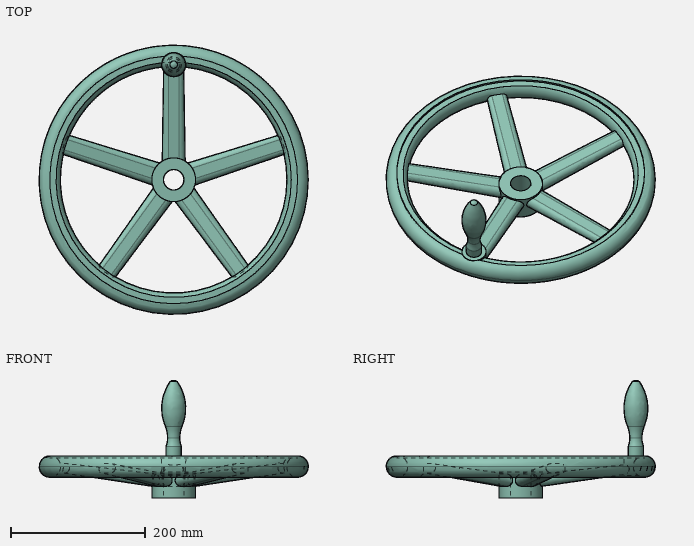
import cadquery as cq
import math

rim_outer_radius = 200.0
rim_section_radius = 16.0
rim_center_radius = rim_outer_radius - rim_section_radius
rim_step_z = 13.0

hub_radius = 32.5
hub_bore_radius = 15.0
hub_bottom_z = -47.0
hub_height = 39.0

spoke_count = 5
first_spoke_angle = 90.0
spoke_flat_width = 16.0
spoke_root_thickness = 19.5
spoke_tip_thickness = 13.5
spoke_root_z = -24.2
spoke_tip_z = -0.8

handle_offset_y = 171.0
boss_radius = 18.0
boss_top_z = 16.0
boss_bottom_z = -13.0
stem_radius = 11.5
stem_top_z = 30.0
neck_radius = 9.2
neck_z = 42.3
grip_start_radius = 12.3
grip_start_z = 59.3
grip_max_radius = 18.0
grip_max_z = 86.5
grip_end_radius = 5.5
grip_end_z = 126.0
handle_top_z = 127.97


def make_rim():
    ring = (
        cq.Workplane("XZ")
        .center(rim_center_radius, 0)
        .circle(rim_section_radius)
        .revolve(360, (-rim_center_radius, 0, 0), (-rim_center_radius, 1, 0))
    )
    step = cq.Workplane("XY", origin=(0, 0, rim_step_z)).circle(rim_center_radius).extrude(rim_section_radius)
    return ring.cut(step)


def make_hub():
    return cq.Workplane("XY", origin=(0, 0, hub_bottom_z)).circle(hub_radius).extrude(hub_height)


def make_hub_clearance():
    """Space above and inside the hub that the spoke roots must not fill."""
    above_hub_z = hub_bottom_z + hub_height
    clearance = cq.Workplane("XY", origin=(0, 0, above_hub_z)).circle(hub_radius).extrude(hub_height)
    bore = cq.Workplane("XY", origin=(0, 0, hub_bottom_z)).circle(hub_bore_radius).extrude(hub_height)
    return clearance.union(bore)


def make_spoke(angle):
    root_length = spoke_flat_width + spoke_root_thickness
    tip_length = spoke_flat_width + spoke_tip_thickness
    spoke = (
        cq.Workplane("YZ")
        .center(0, spoke_root_z)
        .slot2D(root_length, spoke_root_thickness)
        .workplane(offset=rim_center_radius)
        .center(0, spoke_tip_z - spoke_root_z)
        .slot2D(tip_length, spoke_tip_thickness)
        .loft(ruled=True)
    )
    return spoke.rotate((0, 0, 0), (0, 0, 1), angle)


def make_boss():
    boss = cq.Workplane("XY", origin=(0, handle_offset_y, boss_bottom_z)).circle(boss_radius)
    return boss.extrude(boss_top_z - boss_bottom_z)


def flared_radius(radius_at_ends, z_end):
    """Radius halfway up a neck arc that is vertical at the neck's thinnest point."""
    rise = radius_at_ends - neck_radius
    run = abs(z_end - neck_z)
    arc_radius = (run**2 + rise**2) / (2 * rise)
    return neck_radius + arc_radius - math.sqrt(arc_radius**2 - (run / 2) ** 2)


def make_handle():
    lower_flare = (flared_radius(stem_radius, stem_top_z), (stem_top_z + neck_z) / 2)
    upper_flare = (flared_radius(grip_start_radius, grip_start_z), (grip_start_z + neck_z) / 2)
    cap_height = handle_top_z - grip_end_z
    cap_sphere_radius = (grip_end_radius**2 + cap_height**2) / (2 * cap_height)
    cap_mid_radius = grip_end_radius / 2
    cap_mid_z = handle_top_z - cap_sphere_radius + math.sqrt(cap_sphere_radius**2 - cap_mid_radius**2)
    profile = (
        cq.Workplane("XZ")
        .moveTo(0, 0)
        .lineTo(stem_radius, 0)
        .lineTo(stem_radius, stem_top_z)
        .threePointArc(lower_flare, (neck_radius, neck_z))
        .threePointArc(upper_flare, (grip_start_radius, grip_start_z))
        .threePointArc((grip_max_radius, grip_max_z), (grip_end_radius, grip_end_z))
        .threePointArc((cap_mid_radius, cap_mid_z), (0, handle_top_z))
        .close()
    )
    handle = profile.revolve(360, (0, 0, 0), (0, 1, 0))
    return handle.translate((0, handle_offset_y, 0))


def make_handwheel():
    wheel = make_hub()
    for index in range(spoke_count):
        angle = first_spoke_angle + index * 360 / spoke_count
        wheel = wheel.union(make_spoke(angle))
    wheel = wheel.cut(make_hub_clearance())
    return wheel.union(make_rim()).union(make_boss()).union(make_handle())


result = make_handwheel()